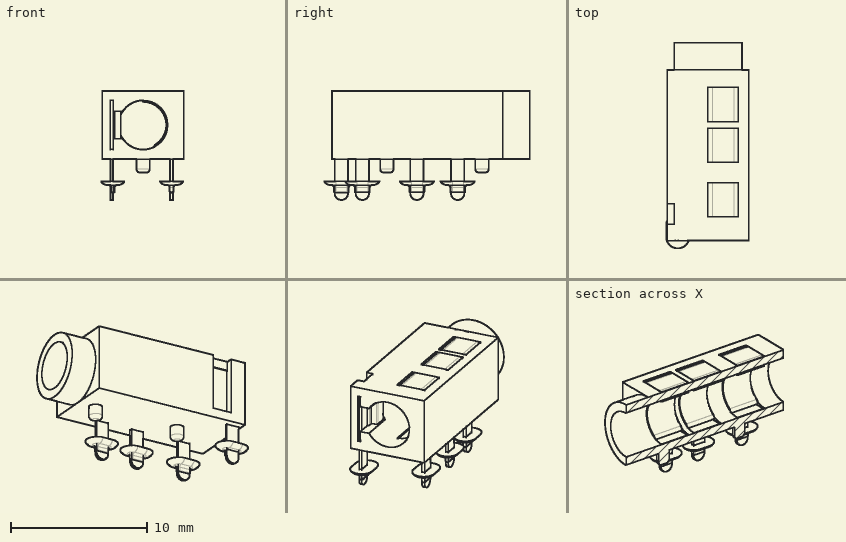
import cadquery as cq
import math


HOUSING_WIDTH = 6.0
HOUSING_LENGTH = 12.52
HOUSING_HEIGHT = 5.0
BARREL_LENGTH = 2.01
BORE_RADIUS = 3.6 / 2
BORE_X = HOUSING_WIDTH / 2
BORE_Z = HOUSING_HEIGHT / 2
PEG_RADIUS = 1.0 / 2
PEG_LENGTH = 1.0
PEG_ROUND = 0.27
PEG_POSITIONS_Y = (4.03, 11.01)

PIN_WIDTH = 1.0
PIN_DEPTH = 3.0

DEEP_CONTACT_LEFT = 2.97
DEEP_CONTACT_RIGHT = 5.2
DEEP_CONTACT_LENGTH = 2.5
DEEP_CONTACT_FLOOR = 0.6
DEEP_CONTACT_STARTS_Y = (1.74, 5.74, 8.73)
DEEP_CONTACT_TOP_ROUND = 0.32
DEEP_CONTACT_TIP_ROUND = 0.25
DEEP_CONTACT_BORE_RADIUS = 1.69
DEEP_PIN_THICKNESS = 0.23

SHEET_LEFT = 0.6
SHEET_THICKNESS = 0.2
SHEET_RIGHT = SHEET_LEFT + SHEET_THICKNESS
SHEET_START_Y = 0.2
SHEET_BOTTOM = BORE_Z - BORE_RADIUS
SHEET_HEIGHT = 2 * BORE_RADIUS
POCKET_DEPTH = 0.51
POCKET_START_Y = 1.21
POCKET_END_Y = 2.72
TAB_HEIGHT = 2.0
TAB_START_Y = 1.21
TAB_STEP_Y = 1.66
TAB_HEEL = 0.1
TAB_TIP_X = 1.37
TAB_TIP_ROUND = 0.06

RING_TOP = -1.63
RING_HEIGHT = 0.83
RIM_RADIUS = 0.86
DISH_MID_RADIUS = 0.72
DISH_MID_DEPTH = 0.17
DISH_DEPTH = 0.27
STEM_RADIUS = 0.15
STEM_FILLET = 0.18
STEM_END_ROUND = 0.1
RING_STRAIGHT = 0.82
FLAT_RING_X = 0.77


def box(x_start, x_end, y_start, y_end, z_start, z_end):
    size = (x_end - x_start, y_end - y_start, z_end - z_start)
    return cq.Workplane("XY").box(*size, centered=False).translate((x_start, y_start, z_start))


def cylinder_along_y(radius, y_start, length):
    """Cylinder on the bore axis."""
    plane = cq.Plane(origin=(BORE_X, y_start, BORE_Z), xDir=(1, 0, 0), normal=(0, 1, 0))
    return cq.Workplane(plane).circle(radius).extrude(length)


def make_pin(x_start, thickness, y_start, top):
    """Flat pin with a full round end, running down from the given height."""
    half_width = PIN_WIDTH / 2
    return (
        cq.Workplane("YZ")
        .moveTo(y_start, top)
        .lineTo(y_start, half_width - PIN_DEPTH)
        .threePointArc((y_start + half_width, -PIN_DEPTH), (y_start + PIN_WIDTH, half_width - PIN_DEPTH))
        .lineTo(y_start + PIN_WIDTH, top)
        .close()
        .extrude(thickness)
        .translate((x_start, 0, 0))
    )


def make_deep_contact(y_start):
    """Block hollowed by the plug bore, rounded at the top and at its lower tip, with a pin."""
    tip_center_distance = DEEP_CONTACT_BORE_RADIUS + DEEP_CONTACT_TIP_ROUND
    tip_z = DEEP_CONTACT_FLOOR + DEEP_CONTACT_TIP_ROUND
    tip_x = BORE_X + math.sqrt(tip_center_distance**2 - (BORE_Z - tip_z) ** 2)
    bore_share = DEEP_CONTACT_BORE_RADIUS / tip_center_distance
    tip_top = (BORE_X + (tip_x - BORE_X) * bore_share, BORE_Z + (tip_z - BORE_Z) * bore_share)
    tip_side = (tip_x - DEEP_CONTACT_TIP_ROUND, tip_z)
    crown_side = BORE_X - DEEP_CONTACT_LEFT
    crown = (DEEP_CONTACT_LEFT, BORE_Z + math.sqrt(DEEP_CONTACT_BORE_RADIUS**2 - crown_side**2))

    block = (
        cq.Workplane("XZ")
        .moveTo(*crown)
        .lineTo(DEEP_CONTACT_LEFT, HOUSING_HEIGHT)
        .lineTo(DEEP_CONTACT_RIGHT, HOUSING_HEIGHT)
        .lineTo(DEEP_CONTACT_RIGHT, DEEP_CONTACT_FLOOR)
        .lineTo(tip_x, DEEP_CONTACT_FLOOR)
        .threePointArc(tip_side, tip_top)
        .threePointArc((BORE_X + DEEP_CONTACT_BORE_RADIUS, BORE_Z), crown)
        .close()
        .extrude(-DEEP_CONTACT_LENGTH)
        .translate((0, y_start, 0))
    )
    block = block.faces(">Z").edges("|Y").fillet(DEEP_CONTACT_TOP_ROUND)
    pin_x = DEEP_CONTACT_RIGHT - DEEP_PIN_THICKNESS
    return block.union(make_pin(pin_x, DEEP_PIN_THICKNESS, y_start, DEEP_CONTACT_FLOOR))


def make_flat_contact():
    """Upright sheet with a pin below and a stepped spring tab that reaches into the bore."""
    sheet = box(
        SHEET_LEFT, SHEET_RIGHT, SHEET_START_Y, POCKET_END_Y, SHEET_BOTTOM, SHEET_BOTTOM + SHEET_HEIGHT
    )
    pin = make_pin(SHEET_LEFT, SHEET_THICKNESS, SHEET_START_Y, SHEET_BOTTOM)
    heel_x = SHEET_RIGHT + TAB_HEEL
    tab = (
        cq.Workplane("XY")
        .moveTo(SHEET_RIGHT, TAB_START_Y)
        .radiusArc((heel_x, TAB_START_Y + TAB_HEEL), -TAB_HEEL)
        .lineTo(heel_x, TAB_STEP_Y)
        .lineTo(TAB_TIP_X - TAB_TIP_ROUND, TAB_STEP_Y)
        .radiusArc((TAB_TIP_X, TAB_STEP_Y + TAB_TIP_ROUND), -TAB_TIP_ROUND)
        .lineTo(TAB_TIP_X, POCKET_END_Y)
        .lineTo(SHEET_RIGHT, POCKET_END_Y)
        .close()
        .extrude(TAB_HEIGHT)
        .translate((0, 0, BORE_Z - TAB_HEIGHT / 2))
    )
    return sheet.union(tab).union(pin)


def make_housing(contacts):
    """Block with barrel, bore, locating pegs, contact cavities and openings for the pins."""
    body = box(0, HOUSING_WIDTH, 0, HOUSING_LENGTH, 0, HOUSING_HEIGHT)
    body = body.union(cylinder_along_y(HOUSING_HEIGHT / 2, HOUSING_LENGTH, BARREL_LENGTH))
    for peg_y in PEG_POSITIONS_Y:
        peg = cq.Workplane("XY").circle(PEG_RADIUS).extrude(-PEG_LENGTH)
        peg = peg.faces("<Z").edges().fillet(PEG_ROUND)
        body = body.union(peg.translate((BORE_X, peg_y, 0)))
    body = body.cut(cylinder_along_y(BORE_RADIUS, 0, HOUSING_LENGTH + BARREL_LENGTH))

    for y_start in DEEP_CONTACT_STARTS_Y:
        y_end = y_start + DEEP_CONTACT_LENGTH
        body = body.cut(
            box(DEEP_CONTACT_LEFT, DEEP_CONTACT_RIGHT, y_start, y_end, DEEP_CONTACT_FLOOR, HOUSING_HEIGHT)
        )

    slot_top = SHEET_BOTTOM + SHEET_HEIGHT
    body = body.cut(box(SHEET_LEFT, SHEET_RIGHT, 0, POCKET_END_Y, SHEET_BOTTOM, slot_top))
    notch_bottom = BORE_Z - TAB_HEIGHT / 2
    body = body.cut(box(SHEET_RIGHT, BORE_X, 0, POCKET_END_Y, notch_bottom, notch_bottom + TAB_HEIGHT))

    body = body.cut(box(0, POCKET_DEPTH, POCKET_START_Y, POCKET_END_Y, SHEET_BOTTOM, HOUSING_HEIGHT))
    body = body.cut(box(0, SHEET_LEFT, POCKET_START_Y, POCKET_END_Y, SHEET_BOTTOM, slot_top))

    for contact in contacts:
        body = body.cut(contact)
    return body


def ring_half_profile():
    """Closed half section of a solder ring: dished underside, concave fillet and stem."""
    diagonal = math.sqrt(0.5)
    fillet_inset = STEM_FILLET * (1 - diagonal)
    stem_core_radius = STEM_RADIUS - STEM_END_ROUND
    stem_round_z = STEM_END_ROUND - RING_HEIGHT
    stem_round_mid = (
        stem_core_radius + STEM_END_ROUND * diagonal,
        stem_round_z - STEM_END_ROUND * diagonal,
    )
    return (
        cq.Workplane("XZ")
        .lineTo(RIM_RADIUS, 0)
        .threePointArc((DISH_MID_RADIUS, -DISH_MID_DEPTH), (STEM_RADIUS + STEM_FILLET, -DISH_DEPTH))
        .threePointArc(
            (STEM_RADIUS + fillet_inset, -DISH_DEPTH - fillet_inset),
            (STEM_RADIUS, -DISH_DEPTH - STEM_FILLET),
        )
        .lineTo(STEM_RADIUS, stem_round_z)
        .threePointArc(stem_round_mid, (stem_core_radius, -RING_HEIGHT))
        .lineTo(0, -RING_HEIGHT)
        .close()
    )


def make_solder_ring(x_center, y_center, contact):
    """Oblong dished ring that narrows to a stem, fitted around the pin of a contact."""
    half_span = RING_STRAIGHT / 2
    straight_half = ring_half_profile().extrude(half_span, both=True)
    ring = straight_half.union(straight_half.mirror("YZ"))
    round_end = ring_half_profile().revolve(360, (0, 0, 0), (0, 1, 0))
    for end_y in (-half_span, half_span):
        ring = ring.union(round_end.translate((0, end_y, 0)))
    return ring.translate((x_center, y_center, RING_TOP)).cut(contact)


deep_contacts = [make_deep_contact(y_start) for y_start in DEEP_CONTACT_STARTS_Y]
flat_contact = make_flat_contact()
housing = make_housing(deep_contacts + [flat_contact])

deep_ring_x = DEEP_CONTACT_RIGHT - DEEP_PIN_THICKNESS / 2
solder_rings = [
    make_solder_ring(deep_ring_x, y_start + PIN_WIDTH / 2, contact)
    for y_start, contact in zip(DEEP_CONTACT_STARTS_Y, deep_contacts)
]
solder_rings.append(make_solder_ring(FLAT_RING_X, SHEET_START_Y + PIN_WIDTH / 2, flat_contact))

result = cq.Compound.makeCompound(
    [
        housing.val(),
        flat_contact.val(),
        *[contact.val() for contact in deep_contacts],
        *[ring.val() for ring in solder_rings],
    ]
)